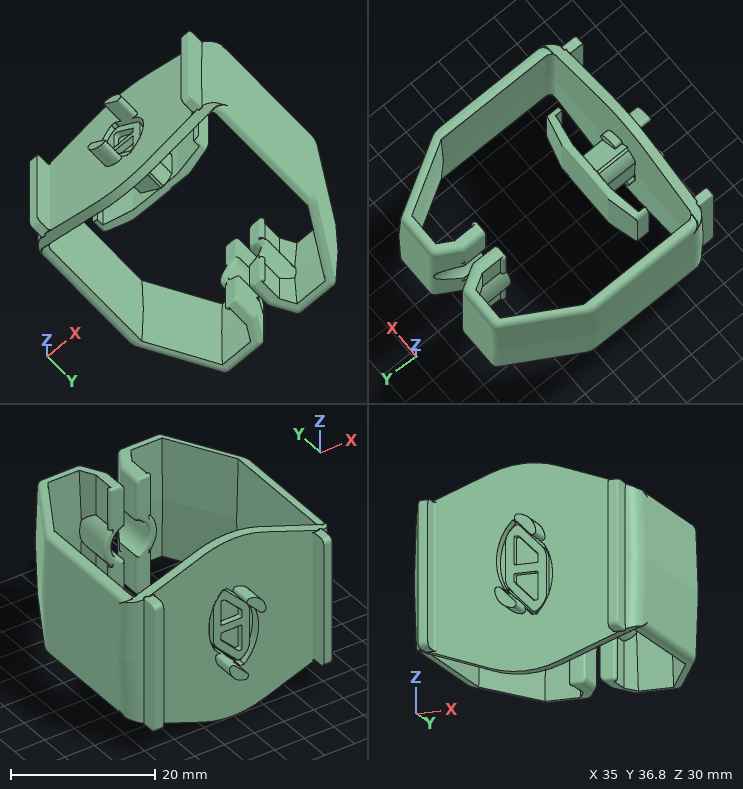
import cadquery as cq
import math

OVERCUT = 0.35
TOLERANCE = 0.05

DRAFT = 2.0
SLANT = math.radians(60)
BAND_HALF_HEIGHT = 10.0
BAND_BACK = 33.35
OUTER_HALF_WIDTH = 17.5
OUTER_BEND_Y = 21.5
INNER_HALF_WIDTH = 15.12
INNER_BEND_Y = 21.4
INNER_BACK = 31.3
CORNER_RADIUS = 3.0
EDGE_RADIUS = 1.0

GAP_HALF_WIDTH = 0.95
LIP_INNER_X = 3.05
LIP_END_Y = 25.25
LIP_BEND_Y = 29.45
LIP_END_RADIUS = 0.48
LIP_BEAD_RADIUS = 0.48
LIP_BEAD_END_RADIUS = 0.45
LIP_ROOT_DEPTH = 1.1
TUBE_RADIUS = 4.5
BORE_RADIUS = 3.13

PLATE_RADIUS = 14.995
PLATE_EDGE_ANGLE = math.radians(20)
PLATE_INNER_Y = 2.005
CORNER_SLOPE_START_Y = 1.7

TAB_INNER_X = 13.47
TAB_OUTER_X = 15.0
TAB_FRONT_Y = -2.5
TAB_HALF_HEIGHT = 10.75
TAB_CORNER_RADIUS = 0.9
TAB_EDGE_RADIUS = 0.25
TAB_ROOT_Y = 0.25
TAB_ROOT_RADIUS = 0.25

LENS_HALF_WIDTH = 4.2
LENS_BULGE_Z = 1.47
LENS_TIP_Z = 6.95
LENS_TIP_X = 1.8
LENS_DIAGONAL = 5.85
RECESS_DEPTH = 1.47
POST_FRONT_Y = 0.55
POST_HALF_WIDTH = 3.05
POST_SHOULDER_Z = 4.4
POST_TIP_Z = 6.35
POST_TIP_X = 1.5
POST_ARC_MIDDLE = (-2.43, 5.6)
POST_DIAGONAL = 5.3
POST_ROUND = 2.4

POCKET_HALF_WIDTH = 1.75
POCKET_NEAR_Z = 0.63
POCKET_LOW_Z = 1.85
POCKET_FAR_Z = 4.8
POCKET_TIP_WIDTH = 0.6
POCKET_DEPTH = 1.1
POCKET_ROUND = 0.2

PEG_RADIUS = 3.0
PEG_CENTRE_X = 0.07
PEG_CENTRE_Z = 3.7
PEG_FRONT_Y = -3.45
PEG_BACK_Y = 3.05
PEG_ROUND = 0.5

SPRING_HALF_WIDTH = 9.95
SPRING_FLAT_HALF_WIDTH = 5.05
SPRING_HALF_HEIGHT = 6.1
SPRING_END_HALF_HEIGHT = 5.35
SPRING_CORNER_RADIUS = 0.92
SPRING_EDGE_RADIUS = 0.25
SPRING_BACK_Y = 8.4
SPRING_END_Y = 7.15
SPRING_THICKNESS = 1.25
SPRING_UNDER_END_Y = 6.22
SPRING_HOOK_Y = 5.08
SPRING_HOOK_WIDTH = 0.92


def mirrored_loop(right_points):
    """Closed XY outline from its right-hand points, listed from front to back."""
    left_points = [(-x, y) for x, y in reversed(right_points)]
    return cq.Workplane("XY").polyline(right_points + left_points).close()


def prism_y(outline, start, end):
    """Extrude an outline drawn on the XZ plane from Y = start to Y = end."""
    return outline.extrude(-(end - start)).translate((0, start, 0))


def half_turn(solid):
    return solid.rotate((0, 0, 0), (0, 1, 0), 180)


def both_halves(upper):
    return upper.union(upper.mirror("XY"))


def slant_x(bend_x, bend_y, y):
    """X at height y on a slanted face that leaves the point (bend_x, bend_y)."""
    return bend_x - (y - bend_y) / math.tan(SLANT)


def edges_between(solid, start_y, end_y):
    """Upright edges of an upper half whose middle lies between two Y positions."""
    middle = solid.val().BoundingBox().zmax / 2
    box = cq.selectors.BoxSelector(
        (-OUTER_HALF_WIDTH, start_y, middle - OVERCUT),
        (OUTER_HALF_WIDTH, end_y, middle + OVERCUT))
    return solid.edges(box)


def outer_block(half_height):
    """Drafted outer form of the band with rounded corners, upper half only."""
    margin = 2 * OVERCUT
    top_y = BAND_BACK + margin
    block = mirrored_loop([
        (OUTER_HALF_WIDTH, -margin),
        (OUTER_HALF_WIDTH, OUTER_BEND_Y),
        (slant_x(OUTER_HALF_WIDTH, OUTER_BEND_Y, top_y), top_y),
    ]).extrude(half_height, taper=DRAFT)
    slab = cq.Workplane("XY").box(
        2 * OUTER_HALF_WIDTH, BAND_BACK, half_height, centered=(True, False, False))
    block = block.intersect(slab)
    for start_y, end_y, radius in (
        (0, 0, CORNER_RADIUS),
        (OUTER_BEND_Y, OUTER_BEND_Y, CORNER_RADIUS),
        (BAND_BACK, BAND_BACK, EDGE_RADIUS),
    ):
        block = edges_between(block, start_y - OVERCUT, end_y + OVERCUT).fillet(radius)
    return block


def inner_block():
    """Drafted inner opening of the band, tall enough to clear the plate, upper half only."""
    height = PLATE_RADIUS + OVERCUT
    opening = mirrored_loop([
        (INNER_HALF_WIDTH, PLATE_INNER_Y),
        (INNER_HALF_WIDTH, INNER_BEND_Y),
        (slant_x(INNER_HALF_WIDTH, INNER_BEND_Y, INNER_BACK), INNER_BACK),
    ]).offset2D(height * math.tan(math.radians(DRAFT)), "intersection")
    opening = opening.extrude(-height, taper=DRAFT).translate((0, 0, height))
    return edges_between(opening, 0, INNER_BEND_Y / 2).fillet(EDGE_RADIUS)


def gap_block():
    """Opening between the lips, flaring at the back, upper half only."""
    beyond = BAND_BACK + OVERCUT
    return mirrored_loop([
        (GAP_HALF_WIDTH, LIP_END_Y - TUBE_RADIUS),
        (GAP_HALF_WIDTH, LIP_BEND_Y),
        (GAP_HALF_WIDTH + (beyond - LIP_BEND_Y) / math.tan(SLANT), beyond),
    ]).extrude(BAND_HALF_HEIGHT)


def lip_regions():
    """Sections of both lips, reaching into the back wall, upper half only."""
    back_y = INNER_BACK + LIP_ROOT_DEPTH
    lips = mirrored_loop([
        (LIP_INNER_X, LIP_END_Y),
        (LIP_INNER_X, LIP_BEND_Y),
        (LIP_INNER_X + (back_y - LIP_BEND_Y) / math.tan(SLANT), back_y),
    ])
    return lips.extrude(BAND_HALF_HEIGHT)


def band():
    """Band with lips and bored tube."""
    form = outer_block(BAND_HALF_HEIGHT).cut(gap_block())
    form = edges_between(form, LIP_BEND_Y - OVERCUT, BAND_BACK + OVERCUT).edges("|Z").fillet(EDGE_RADIUS)
    form = form.faces(">Z").edges().fillet(EDGE_RADIUS)
    lips = form.intersect(lip_regions())
    form = both_halves(form.cut(inner_block()).union(lips))

    tube_end_y = INNER_BACK + LIP_ROOT_DEPTH
    tube = prism_y(cq.Workplane("XZ").circle(TUBE_RADIUS), LIP_END_Y, tube_end_y)
    form = form.union(tube.cut(both_halves(gap_block())))
    bore = prism_y(cq.Workplane("XZ").circle(BORE_RADIUS), LIP_END_Y - OVERCUT, BAND_BACK + OVERCUT)
    return round_lip_ends(form.cut(bore))


def round_lip_ends(form):
    """Round the free ends of lips and tube, leaving the inner corners to the beads."""
    end_edges = form.edges(cq.selectors.BoxSelector(
        (-TUBE_RADIUS, LIP_END_Y - TOLERANCE, -BAND_HALF_HEIGHT),
        (TUBE_RADIUS, LIP_END_Y + TOLERANCE, BAND_HALF_HEIGHT)))
    rounded = [
        edge for edge in end_edges.vals()
        if abs(abs(edge.Center().x) - LIP_INNER_X) > TOLERANCE
    ]
    return form.newObject(rounded).fillet(LIP_END_RADIUS)


def lip_bead():
    """Half-round bead along the inner corner of the +X lip end, upper half only."""
    bead = (
        cq.Workplane("XY", origin=(0, 0, BORE_RADIUS))
        .center(LIP_INNER_X, LIP_END_Y + LIP_BEAD_RADIUS)
        .circle(LIP_BEAD_RADIUS)
        .extrude(BAND_HALF_HEIGHT - BORE_RADIUS)
    )
    return bead.faces(">Z").edges().fillet(LIP_BEAD_END_RADIUS)


def plate():
    """Crowned plate, drafted on its inner face and cut to the rounded band corners."""
    tangent_x = PLATE_RADIUS * math.sin(PLATE_EDGE_ANGLE)
    tangent_z = PLATE_RADIUS * math.cos(PLATE_EDGE_ANGLE)
    end_z = tangent_z - (OUTER_HALF_WIDTH - tangent_x) * math.tan(PLATE_EDGE_ANGLE)
    outline = (
        cq.Workplane("XZ")
        .moveTo(-OUTER_HALF_WIDTH, 0)
        .lineTo(-OUTER_HALF_WIDTH, end_z)
        .lineTo(-tangent_x, tangent_z)
        .threePointArc((0, PLATE_RADIUS), (tangent_x, tangent_z))
        .lineTo(OUTER_HALF_WIDTH, end_z)
        .lineTo(OUTER_HALF_WIDTH, 0)
        .close()
    )
    upper = prism_y(outline, 0, CORNER_RADIUS)
    upper = upper.intersect(outer_block(PLATE_RADIUS)).cut(inner_block())
    above_slope = cq.Workplane("YZ").polyline([
        (CORNER_SLOPE_START_Y, PLATE_RADIUS),
        (CORNER_SLOPE_START_Y, BAND_HALF_HEIGHT),
        (CORNER_RADIUS, BAND_HALF_HEIGHT - EDGE_RADIUS),
        (CORNER_RADIUS, PLATE_RADIUS),
    ]).close().extrude(OUTER_HALF_WIDTH - INNER_HALF_WIDTH)
    above_slope = above_slope.translate((INNER_HALF_WIDTH, 0, 0))
    return both_halves(upper.cut(above_slope).cut(above_slope.mirror("YZ")))


def tab():
    """Upright tab on the +X side, rounded along its outer rim."""
    depth = TAB_ROOT_Y - TAB_FRONT_Y
    blade = cq.Workplane("XY").box(
        TAB_OUTER_X - TAB_INNER_X, depth, 2 * TAB_HALF_HEIGHT, centered=(False, False, True)
    ).translate((TAB_INNER_X, TAB_FRONT_Y, 0))
    blade = blade.edges("<Y and |X").fillet(TAB_CORNER_RADIUS)
    return blade.faces(">X").edges("not >Y").fillet(TAB_EDGE_RADIUS)


def lens_outline():
    """Hole of the plate: two bulging sides, two straight 45 degree sides and flat tips."""
    corner_x = POST_HALF_WIDTH
    corner_z = LENS_DIAGONAL - corner_x
    diagonal_x = -LENS_TIP_Z + LENS_DIAGONAL
    return (
        cq.Workplane("XZ")
        .moveTo(diagonal_x, LENS_TIP_Z)
        .lineTo(corner_x, corner_z)
        .threePointArc((LENS_HALF_WIDTH, -LENS_BULGE_Z), (LENS_TIP_X, -LENS_TIP_Z))
        .lineTo(-diagonal_x, -LENS_TIP_Z)
        .lineTo(-corner_x, -corner_z)
        .threePointArc((-LENS_HALF_WIDTH, LENS_BULGE_Z), (-LENS_TIP_X, LENS_TIP_Z))
        .close()
    )


def post():
    """Post from the plate front to the spring, with six-sided rounded section."""
    corner_z = POST_DIAGONAL - POST_HALF_WIDTH
    tip_x = POST_DIAGONAL - POST_TIP_Z
    arc_x, arc_z = POST_ARC_MIDDLE
    outline = (
        cq.Workplane("XZ")
        .moveTo(tip_x, POST_TIP_Z)
        .lineTo(POST_HALF_WIDTH, corner_z)
        .lineTo(POST_HALF_WIDTH, -POST_SHOULDER_Z)
        .threePointArc((-arc_x, -arc_z), (POST_TIP_X, -POST_TIP_Z))
        .lineTo(-tip_x, -POST_TIP_Z)
        .lineTo(-POST_HALF_WIDTH, -corner_z)
        .lineTo(-POST_HALF_WIDTH, POST_SHOULDER_Z)
        .threePointArc((arc_x, arc_z), (-POST_TIP_X, POST_TIP_Z))
        .close()
    )
    column = prism_y(outline, POST_FRONT_Y, SPRING_BACK_Y - SPRING_THICKNESS)
    for sign in (1, -1):
        corner = cq.selectors.NearestToPointSelector(
            (sign * POST_HALF_WIDTH, SPRING_END_Y / 2, sign * corner_z))
        column = column.edges("|Y").edges(corner).fillet(POST_ROUND)
    pocket = prism_y(cq.Workplane("XZ").polyline([
        (-POCKET_HALF_WIDTH, POCKET_NEAR_Z),
        (POCKET_HALF_WIDTH, POCKET_NEAR_Z),
        (POCKET_HALF_WIDTH, POCKET_LOW_Z),
        (-POCKET_HALF_WIDTH + POCKET_TIP_WIDTH, POCKET_FAR_Z),
        (-POCKET_HALF_WIDTH, POCKET_FAR_Z),
    ]).close(), POST_FRONT_Y - OVERCUT, POST_FRONT_Y + POCKET_DEPTH).edges("|Y").fillet(POCKET_ROUND)
    return column.cut(pocket).cut(half_turn(pocket))


def slit():
    """Slit along the upper 45 degree side of the post."""
    start_x = LENS_DIAGONAL - LENS_TIP_Z
    return prism_y(cq.Workplane("XZ").polyline([
        (start_x, POST_DIAGONAL - start_x),
        (start_x, LENS_TIP_Z),
        (POST_HALF_WIDTH, LENS_DIAGONAL - POST_HALF_WIDTH),
        (POST_HALF_WIDTH, POST_DIAGONAL - POST_HALF_WIDTH),
    ]).close(), -OVERCUT, PEG_BACK_Y + OVERCUT)


def peg():
    """Upper peg: a disc segment cut along the slit, running through the plate."""
    circle = cq.Workplane("XZ").center(PEG_CENTRE_X, PEG_CENTRE_Z).circle(PEG_RADIUS)
    disc = prism_y(circle, PEG_FRONT_Y, PEG_BACK_Y)
    reach = PLATE_RADIUS
    beyond_slit = prism_y(cq.Workplane("XZ").polyline([
        (LENS_DIAGONAL - reach, reach),
        (reach, reach),
        (reach, LENS_DIAGONAL - reach),
    ]).close(), PEG_FRONT_Y, PEG_BACK_Y)
    return disc.intersect(beyond_slit).edges("|Y").fillet(PEG_ROUND)


def spring():
    """Bowed leaf with a short hook at each end."""
    hook_x = SPRING_HALF_WIDTH - SPRING_HOOK_WIDTH
    under_y = SPRING_BACK_Y - SPRING_THICKNESS
    profile = mirrored_loop([
        (SPRING_FLAT_HALF_WIDTH - SPRING_HOOK_WIDTH, under_y),
        (hook_x, SPRING_UNDER_END_Y),
        (hook_x, SPRING_HOOK_Y),
        (SPRING_HALF_WIDTH, SPRING_HOOK_Y),
        (SPRING_HALF_WIDTH, SPRING_END_Y),
        (SPRING_FLAT_HALF_WIDTH, SPRING_BACK_Y),
    ])
    leaf = profile.extrude(SPRING_HALF_HEIGHT, both=True)
    outline = (
        cq.Workplane("XZ")
        .moveTo(-SPRING_HALF_WIDTH, -SPRING_END_HALF_HEIGHT)
        .threePointArc((0, -SPRING_HALF_HEIGHT), (SPRING_HALF_WIDTH, -SPRING_END_HALF_HEIGHT))
        .lineTo(SPRING_HALF_WIDTH, SPRING_END_HALF_HEIGHT)
        .threePointArc((0, SPRING_HALF_HEIGHT), (-SPRING_HALF_WIDTH, SPRING_END_HALF_HEIGHT))
        .close()
    )
    plan = prism_y(outline, SPRING_HOOK_Y, SPRING_BACK_Y).edges("|Y").fillet(SPRING_CORNER_RADIUS)
    leaf = leaf.intersect(plan)
    return leaf.faces(">Y").edges("not |Z").fillet(SPRING_EDGE_RADIUS)


def add_tabs(clip):
    """Join both tabs and round the inner corners where they meet the plate."""
    clip = clip.union(tab()).union(tab().mirror("YZ"))
    for side in (-1, 1):
        root = cq.selectors.BoxSelector(
            (side * TAB_INNER_X - TOLERANCE, -TOLERANCE, -TAB_HALF_HEIGHT),
            (side * TAB_INNER_X + TOLERANCE, TOLERANCE, TAB_HALF_HEIGHT))
        clip = clip.edges("|Z").edges(root).fillet(TAB_ROOT_RADIUS)
    return clip


bead = both_halves(lip_bead())
clip = band().union(bead).union(bead.mirror("YZ"))
clip = add_tabs(clip.union(plate()))
clip = clip.cut(prism_y(lens_outline(), -OVERCUT, RECESS_DEPTH))
clip = clip.union(post())
clip = clip.cut(slit()).cut(half_turn(slit()))
clip = clip.union(peg()).union(half_turn(peg()))
result = clip.union(spring())